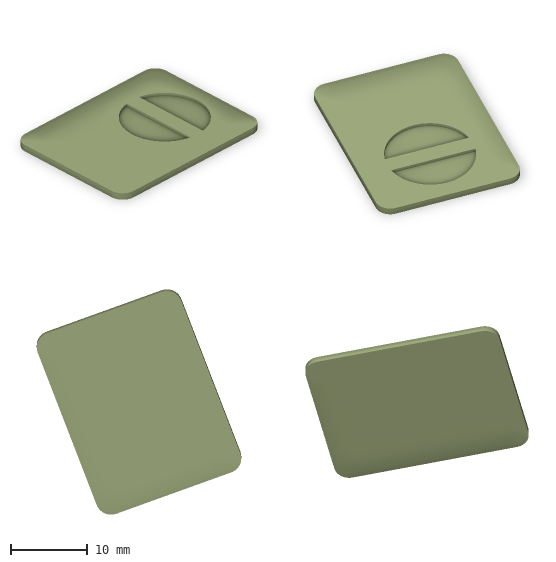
import cadquery as cq

plate_width = 20.0
plate_length = 26.0
plate_thickness = 1.0
corner_radius = 2.0

recess_diameter = 12.0
recess_center_y = 4.75
recess_depth = 0.5
bar_width = 2.31


def rounded_plate():
    """Flat plate with rounded vertical corners, its bottom face at Z = 0."""
    plate = cq.Workplane("XY").box(plate_width, plate_length, plate_thickness, centered=(True, True, False))
    return plate.edges("|Z").fillet(corner_radius)


def split_round_recess():
    """Volume of the two circular segments on either side of the bar."""
    floor = cq.Workplane("XY", origin=(0, recess_center_y, plate_thickness - recess_depth))
    disc = floor.circle(recess_diameter / 2).extrude(recess_depth)
    bar = floor.rect(recess_diameter, bar_width).extrude(recess_depth)
    return disc.cut(bar)


result = rounded_plate().cut(split_round_recess())